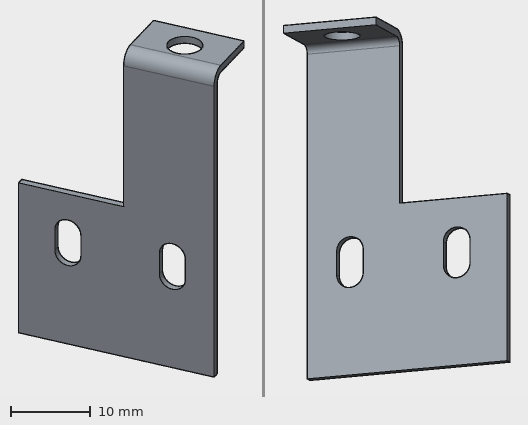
import cadquery as cq

width = 27.0
depth = 8.9
height = 43.7

thickness = 1.0
inner_bend_radius = 1.0
outer_bend_radius = inner_bend_radius + thickness

arm_width = 12.5
arm_left = width - arm_width
base_height = 21.5

slot_width = 3.6
slot_length = 6.5
slot_z = 14.5
first_slot_x = 6.8
slot_spacing = 14.4

hole_diameter = 4.5
hole_x = arm_left + arm_width / 2
hole_y = 4.75


def make_base():
    """Flat plate, with its front face at Y = 0."""
    return cq.Workplane("XY").box(width, thickness, base_height, centered=False)


def make_bent_arm():
    """Upright arm that bends back into a horizontal flange at the top."""
    profile = (
        cq.Workplane("YZ", origin=(arm_left, 0, 0))
        .lineTo(0, height - outer_bend_radius)
        .radiusArc((outer_bend_radius, height), outer_bend_radius)
        .lineTo(depth, height)
        .lineTo(depth, height - thickness)
        .lineTo(outer_bend_radius, height - thickness)
        .radiusArc((thickness, height - outer_bend_radius), -inner_bend_radius)
        .lineTo(thickness, 0)
        .close()
    )
    return profile.extrude(arm_width)


def make_slots():
    """Vertical slot cutters that pass through the base plate."""
    centers = [(first_slot_x, slot_z), (first_slot_x + slot_spacing, slot_z)]
    return (
        cq.Workplane("XZ")
        .pushPoints(centers)
        .slot2D(slot_length, slot_width, angle=90)
        .extrude(-thickness)
    )


def make_flange_hole():
    """Round cutter that passes through the flange."""
    return (
        cq.Workplane("XY", origin=(hole_x, hole_y, height))
        .circle(hole_diameter / 2)
        .extrude(-thickness)
    )


bracket = make_base().union(make_bent_arm())
result = bracket.cut(make_slots()).cut(make_flange_hole())